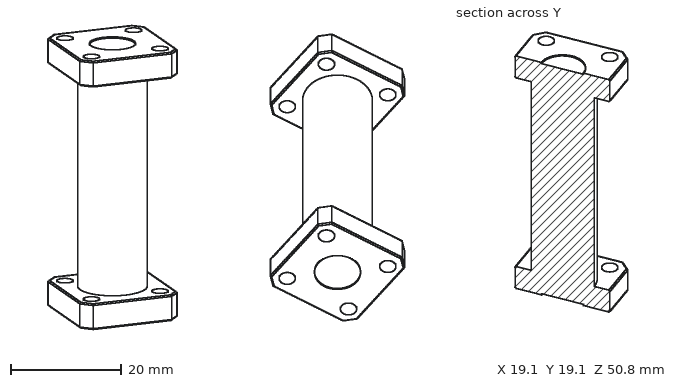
import cadquery as cq

total_length = 50.8
flange_width = 19.05
flange_thickness = 4.9
corner_chamfer = 1.85
edge_chamfer = 0.25

tube_diameter = 12.7

hole_diameter = 2.95
hole_spacing_x = 12.7
hole_spacing_y = 13.45

recess_diameter = 8.4
recess_depth = 0.25


def make_flange(bottom_z):
    """Square flange with cut corners, broken rims and four bolt holes."""
    return (
        cq.Workplane("XY", origin=(0, 0, bottom_z))
        .rect(flange_width, flange_width)
        .extrude(flange_thickness)
        .edges("|Z")
        .chamfer(corner_chamfer)
        .faces("<Z or >Z")
        .edges()
        .chamfer(edge_chamfer)
        .faces(">Z")
        .workplane(origin=(0, 0, 0))
        .rect(hole_spacing_x, hole_spacing_y, forConstruction=True)
        .vertices()
        .hole(hole_diameter)
    )


def make_recess(bottom_z):
    """Disc to be removed from an outer flange face."""
    return (
        cq.Workplane("XY", origin=(0, 0, bottom_z))
        .circle(recess_diameter / 2)
        .extrude(recess_depth)
    )


tube_start = flange_thickness / 2
tube = (
    cq.Workplane("XY", origin=(0, 0, tube_start))
    .circle(tube_diameter / 2)
    .extrude(total_length - 2 * tube_start)
)

result = tube
for flange_bottom in (0, total_length - flange_thickness):
    result = result.union(make_flange(flange_bottom))
for recess_bottom in (0, total_length - recess_depth):
    result = result.cut(make_recess(recess_bottom))